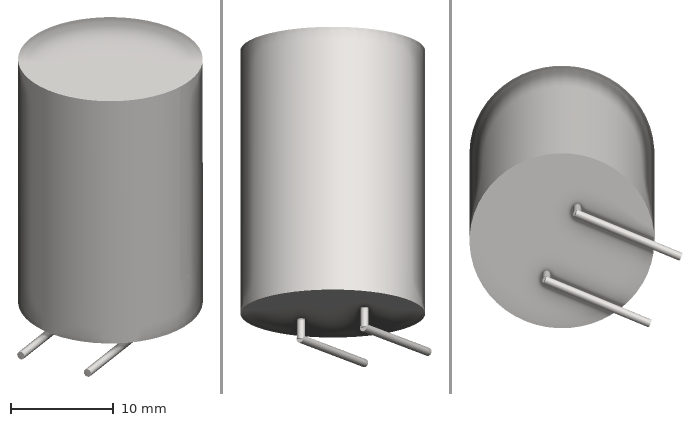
import cadquery as cq

TOTAL_HEIGHT = 28.9

CAN_DIAMETER = 18.0
CAN_HEIGHT = 26.5
CAN_RADIUS = CAN_DIAMETER / 2
CAN_BOTTOM = TOTAL_HEIGHT - CAN_HEIGHT

MARKER_WIDTH = 3.47
MARKER_HEIGHT = 0.8 * CAN_HEIGHT
MARKER_INNER_X = 0.2 * CAN_RADIUS

LEAD_DIAMETER = 0.8
LEAD_RADIUS = LEAD_DIAMETER / 2
LEAD_PITCH = 7.5
TOTAL_DEPTH = 20.0
TAIL_FRONT_Y = CAN_RADIUS - TOTAL_DEPTH
TAIL_BACK_Y = LEAD_RADIUS / 2
TAIL_AXIS_Z = LEAD_RADIUS


def make_can_blank():
    """Full cylinder of the can, before the marker recess."""
    return cq.Workplane("XY").workplane(offset=CAN_BOTTOM).circle(CAN_RADIUS).extrude(CAN_HEIGHT)


def make_marker():
    """Rectangular bar trimmed to the round wall of the can."""
    bar = (
        cq.Workplane("XY")
        .workplane(offset=TOTAL_HEIGHT - MARKER_HEIGHT)
        .center((MARKER_INNER_X + CAN_RADIUS) / 2, 0)
        .rect(CAN_RADIUS - MARKER_INNER_X, MARKER_WIDTH)
        .extrude(MARKER_HEIGHT)
    )
    return bar.intersect(make_can_blank())


def make_can(marker):
    """Can with a recess that fits the marker."""
    return make_can_blank().cut(marker)


def make_lead_post(x):
    """Vertical post from the axis height of the tail up to the can."""
    return (
        cq.Workplane("XY")
        .workplane(offset=TAIL_AXIS_Z)
        .center(x, 0)
        .circle(LEAD_RADIUS)
        .extrude(CAN_BOTTOM - TAIL_AXIS_Z)
    )


def make_lead_tail(x, post):
    """Horizontal tail, notched at its back end to seat the post."""
    rod = (
        cq.Workplane("XZ", origin=(x, TAIL_BACK_Y, TAIL_AXIS_Z))
        .circle(LEAD_RADIUS)
        .extrude(TAIL_BACK_Y - TAIL_FRONT_Y)
    )
    return rod.cut(post)


marker = make_marker()
can = make_can(marker)

leads = []
for lead_x in (-LEAD_PITCH / 2, LEAD_PITCH / 2):
    post = make_lead_post(lead_x)
    tail = make_lead_tail(lead_x, post)
    leads += [post.val(), tail.val()]

result = cq.Compound.makeCompound([can.val(), marker.val(), *leads])